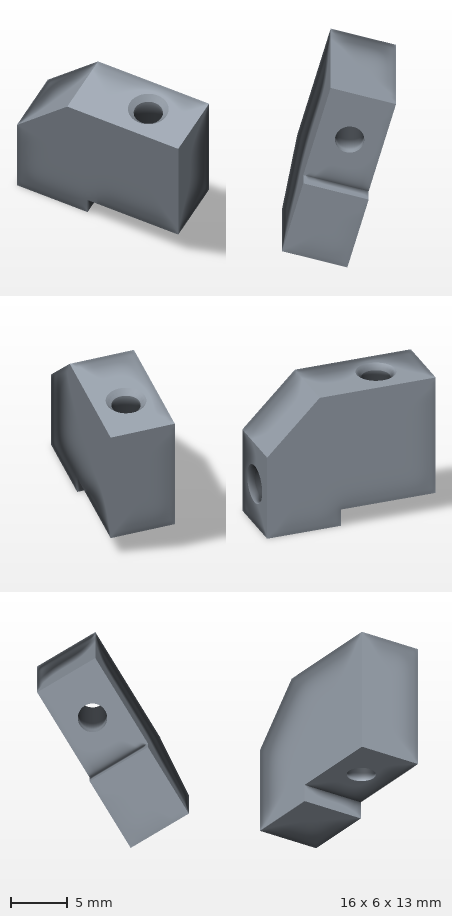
import cadquery as cq

length = 16.0
width = 6.0
height = 13.0
corner_cut = 5.0
foot_length = 7.0
foot_height = 1.6

hole_diameter = 2.6
sink_diameter = 3.6
sink_angle = 90.0
vertical_hole_x = 11.5
side_hole_z = 4.0
side_hole_depth = 8.0


def make_body():
    """Block with a sloped upper corner and a foot below one end."""
    outline = [
        (0, 0),
        (foot_length, 0),
        (foot_length, foot_height),
        (length, foot_height),
        (length, height),
        (corner_cut, height),
        (0, height - corner_cut),
    ]
    return cq.Workplane("XZ").polyline(outline).close().extrude(-width)


def drill_vertical_hole(body):
    """Through hole, countersunk at the top face."""
    top = body.faces(">Z").workplane(origin=(vertical_hole_x, width / 2, height))
    return top.cskHole(hole_diameter, sink_diameter, sink_angle)


def drill_side_hole(body):
    """Flat-bottomed blind hole, countersunk at the end face above the foot."""
    end = body.faces("<X").workplane(origin=(0, width / 2, side_hole_z))
    return end.cskHole(hole_diameter, sink_diameter, sink_angle, side_hole_depth)


result = drill_side_hole(drill_vertical_hole(make_body()))